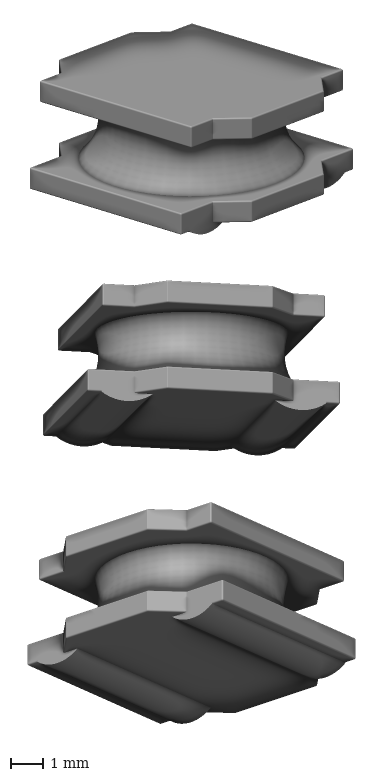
import cadquery as cq

body_width = 8.0
lower_plate_length = 8.0
upper_plate_length = 7.06
tab_width = 6.3
corner_bevel = (body_width - tab_width) / 2
tab_root_y = 2.52
side_half_length = tab_root_y - corner_bevel
plate_thickness = 0.7
edge_radius = 0.05

total_height = 3.7
terminal_drop = 0.26
upper_plate_z = total_height - terminal_drop - plate_thickness
winding_height = upper_plate_z - plate_thickness

winding_bottom_radius = 3.5
winding_top_radius = 3.0
winding_neck_radius = 2.88
winding_neck_height = 1.32

terminal_centre_y = 2.75
terminal_half_width = 0.82
terminal_top_half_width = 0.63
terminal_depth = 0.33


def make_plate(length, base_z):
    """Cross-shaped plate with bevelled corner cut-outs and rounded outer edges."""
    half_width = body_width / 2
    half_tab = tab_width / 2
    half_length = length / 2
    quarter = [
        (half_width, side_half_length),
        (half_tab, tab_root_y),
        (half_tab, half_length),
    ]
    right_half = [(x, -y) for x, y in reversed(quarter)] + quarter
    left_half = [(-x, -y) for x, y in right_half]
    blank = (
        cq.Workplane("XY")
        .workplane(offset=base_z)
        .polyline(right_half + left_half)
        .close()
        .extrude(plate_thickness)
    )
    re_entrant_corners = cq.selectors.BoxSelector(
        (-half_tab - edge_radius, -tab_root_y - edge_radius, base_z),
        (half_tab + edge_radius, tab_root_y + edge_radius, base_z + plate_thickness),
    )
    outer_corners = cq.selectors.SubtractSelector(
        cq.selectors.ParallelDirSelector(cq.Vector(0, 0, 1)), re_entrant_corners
    )
    plate = blank.edges(outer_corners).fillet(edge_radius)
    return plate.faces("<Z or >Z").edges().fillet(edge_radius)


def make_terminal(side):
    """Bar with a tapered root in the lower plate and a domed underside; side is +1 or -1 along Y."""
    centre_y = side * terminal_centre_y
    return (
        cq.Workplane("YZ")
        .moveTo(centre_y - terminal_half_width, 0)
        .threePointArc((centre_y, -terminal_drop), (centre_y + terminal_half_width, 0))
        .lineTo(centre_y + terminal_top_half_width, terminal_depth)
        .lineTo(centre_y - terminal_top_half_width, terminal_depth)
        .close()
        .extrude(tab_width / 2, both=True)
    )


def make_winding():
    """Necked body of revolution that fills the space between the two plates."""
    return (
        cq.Workplane("XZ")
        .moveTo(0, plate_thickness)
        .lineTo(winding_bottom_radius, plate_thickness)
        .threePointArc(
            (winding_neck_radius, plate_thickness + winding_neck_height),
            (winding_top_radius, plate_thickness + winding_height),
        )
        .lineTo(0, plate_thickness + winding_height)
        .close()
        .revolve(360, (0, 0, 0), (0, 1, 0))
    )


terminals = [make_terminal(side) for side in (-1, 1)]

lower_plate = make_plate(lower_plate_length, 0)
for terminal in terminals:
    lower_plate = lower_plate.cut(terminal)

upper_plate = make_plate(upper_plate_length, upper_plate_z)
winding = make_winding()

result = cq.Compound.makeCompound([
    lower_plate.val(),
    upper_plate.val(),
    winding.val(),
    *[terminal.val() for terminal in terminals],
])